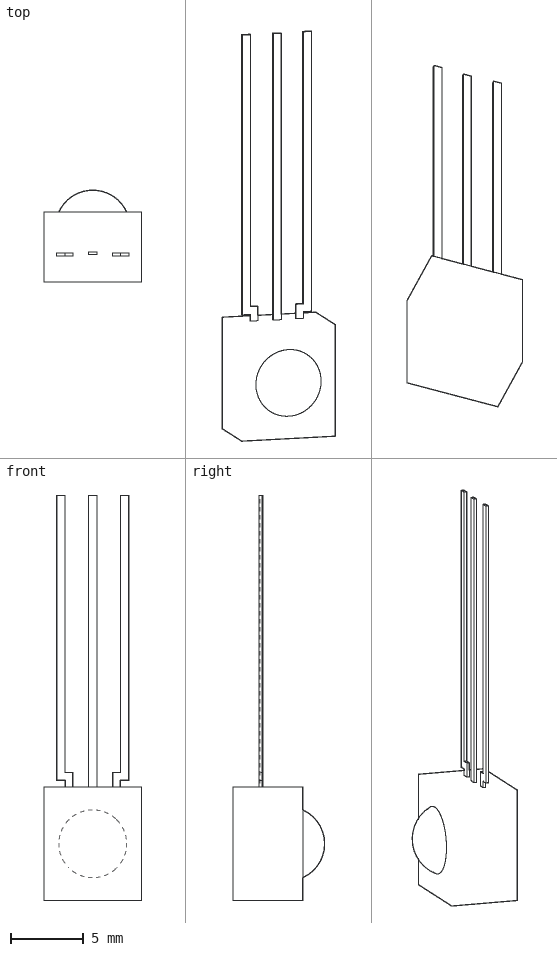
import cadquery as cq

total_height = 27.8
body_width = 6.7
body_depth = 4.8
body_height = 7.8
edge_radius = 0.03

lens_radius = 2.55
lens_projection = 1.5

lead_width = 0.58
lead_thickness = 0.2
foot_inner_x = 1.35
foot_outer_x = 1.9
foot_height = 1.0
lead_clearance = 0.45
center_lead_back_y = -0.33
outer_lead_back_y = -0.42
embed = 0.28

lead_length = total_height - body_height


def make_body():
    """Block with all edges slightly rounded, its base on Z = 0."""
    block = cq.Workplane("XY").box(body_width, body_depth, body_height, centered=(True, True, False))
    return block.edges().fillet(edge_radius)


def make_lens():
    """Sphere whose cap stands out of the +Y face."""
    center_y = body_depth / 2 + lens_projection - lens_radius
    return cq.Workplane("XY").sphere(lens_radius).translate((0, center_y, body_height / 2))


def extrude_lead(points, back_y):
    """Flat lead cut from an X-Z outline measured from the top face."""
    sheet = cq.Workplane("XZ").polyline(points).close().extrude(lead_thickness)
    return sheet.translate((0, back_y, body_height))


def make_center_lead():
    half = lead_width / 2
    outline = [(-half, -embed), (half, -embed), (half, lead_length), (-half, lead_length)]
    return extrude_lead(outline, center_lead_back_y)


def make_outer_lead(side):
    """Lead stepped outward from its foot; side is +1 or -1 along X."""
    lead_outer_x = foot_outer_x + lead_width
    outline = [
        (foot_inner_x, -embed),
        (foot_outer_x, -embed),
        (foot_outer_x, lead_clearance),
        (lead_outer_x, lead_clearance),
        (lead_outer_x, lead_length),
        (foot_outer_x, lead_length),
        (foot_outer_x, foot_height),
        (foot_inner_x, foot_height),
    ]
    return extrude_lead([(side * x, z) for x, z in outline], outer_lead_back_y)


result = make_body().union(make_lens()).union(make_center_lead())
for side in (-1, 1):
    result = result.union(make_outer_lead(side))